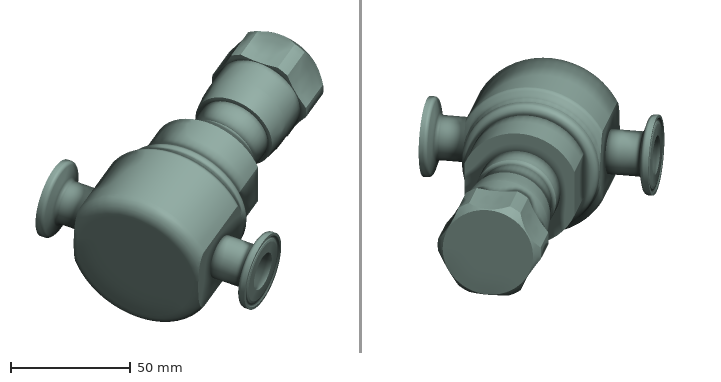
import cadquery as cq
import math

overall_length = 134.3
port_span = 98.3

body_radius = 33.3
body_flat_half_width = 29.3
body_face_fillet = 6.6
shoulder_start_y = 36.3
shoulder_blend_radius = 3.0
shoulder_angle = math.radians(45)
cap_radius = body_flat_half_width
cap_end_y = 47.8
cap_fillet = 3.2

spacer_radius = 23.1
nut_start_y = 48.3
nut_end_y = 67.4
nut_radius = 25.5
nut_flat_half_width = 23.5

collar_radius = 17.5
collar_end_y = 78.3
neck_radius = 16.0
sleeve_start_y = 91.3
sleeve_start_radius = 18.0
sleeve_straight_y = 102.3
sleeve_radius = 19.2

knob_start_y = 115.0
knob_radius = 22.2
knob_chamfer_length = 3.4
knob_end_radius = 19.3
knob_lobes = 6
lobe_half_angle = math.radians(6.9)
flute_root_radius = 19.6

port_y = 21.4
pipe_radius = 9.5
bore_radius = 8.3
bore_floor_x = 31.8
flange_radius = 17.0
flange_rim_width = 1.9
flange_blend_radius = 1.7
flange_slope = math.radians(18)
groove_outer_radius = 15.8
groove_floor_radius = 15.2
groove_floor_depth = 0.7
groove_bevel_radius = 14.4
groove_bevel_depth = 0.3
groove_inner_radius = 13.3


def revolve_about_y(profile):
    return profile.close().revolve(360, (0, 0, 0), (0, 1, 0))


def plane_at_y(y):
    """Workplane at the given Y, facing +Y, with local axes X and -Z."""
    return cq.Workplane("XZ", origin=(0, y, 0)).transformed(rotate=(180, 0, 0))


def trim_to_flats(solid, half_width):
    box_size = 2 * overall_length
    return solid.intersect(cq.Workplane("XY").box(2 * half_width, box_size, box_size))


def make_body():
    blend_run = shoulder_blend_radius * math.sin(shoulder_angle)
    blend_drop = shoulder_blend_radius * (1 - math.cos(shoulder_angle))
    cone_start_radius = body_radius - blend_drop
    cone_end_radius = cap_radius + blend_drop
    cone_start_y = shoulder_start_y + blend_run
    cone_end_y = cone_start_y + (cone_start_radius - cone_end_radius) / math.tan(shoulder_angle)
    profile = (
        cq.Workplane("XY")
        .lineTo(body_radius - body_face_fillet, 0)
        .radiusArc((body_radius, body_face_fillet), -body_face_fillet)
        .lineTo(body_radius, shoulder_start_y)
        .radiusArc((cone_start_radius, cone_start_y), -shoulder_blend_radius)
        .lineTo(cone_end_radius, cone_end_y)
        .radiusArc((cap_radius, cone_end_y + blend_run), shoulder_blend_radius)
        .lineTo(cap_radius, cap_end_y - cap_fillet)
        .radiusArc((cap_radius - cap_fillet, cap_end_y), -cap_fillet)
        .lineTo(0, cap_end_y)
    )
    return trim_to_flats(revolve_about_y(profile), body_flat_half_width)


def make_bonnet_nut():
    nut = plane_at_y(nut_start_y).circle(nut_radius).extrude(nut_end_y - nut_start_y)
    spacer = plane_at_y(cap_end_y).circle(spacer_radius).extrude(nut_start_y - cap_end_y)
    return trim_to_flats(nut, nut_flat_half_width).union(spacer)


def make_stem():
    collar_chamfer_y = collar_end_y - (collar_radius - neck_radius)
    profile = (
        cq.Workplane("XY")
        .moveTo(0, nut_end_y)
        .lineTo(collar_radius, nut_end_y)
        .lineTo(collar_radius, collar_chamfer_y)
        .lineTo(neck_radius, collar_end_y)
        .lineTo(neck_radius, sleeve_start_y)
        .lineTo(sleeve_radius, sleeve_start_y)
        .lineTo(sleeve_radius, knob_start_y)
        .lineTo(0, knob_start_y)
    )
    return revolve_about_y(profile).intersect(make_sleeve_taper())


def make_sleeve_taper():
    """Envelope whose side curves in from the straight sleeve to its lower edge."""
    taper_length = sleeve_straight_y - sleeve_start_y
    taper_depth = sleeve_radius - sleeve_start_radius
    taper_arc_radius = (taper_length**2 + taper_depth**2) / (2 * taper_depth)
    profile = (
        cq.Workplane("XY")
        .moveTo(0, nut_end_y)
        .lineTo(sleeve_start_radius, nut_end_y)
        .lineTo(sleeve_start_radius, sleeve_start_y)
        .radiusArc((sleeve_radius, sleeve_straight_y), -taper_arc_radius)
        .lineTo(sleeve_radius, knob_start_y)
        .lineTo(0, knob_start_y)
    )
    return revolve_about_y(profile)


def make_knob():
    def polar(radius, angle):
        return (radius * math.cos(angle), radius * math.sin(angle))

    pitch = 2 * math.pi / knob_lobes
    outline = plane_at_y(knob_start_y).moveTo(*polar(knob_radius, -lobe_half_angle))
    for lobe in range(knob_lobes):
        centre = lobe * pitch
        outline = outline.threePointArc(
            polar(knob_radius, centre),
            polar(knob_radius, centre + lobe_half_angle),
        ).threePointArc(
            polar(flute_root_radius, centre + pitch / 2),
            polar(knob_radius, centre + pitch - lobe_half_angle),
        )
    knob = outline.close().extrude(overall_length - knob_start_y)

    chamfered_blank = revolve_about_y(
        cq.Workplane("XY")
        .moveTo(0, knob_start_y)
        .lineTo(knob_radius, knob_start_y)
        .lineTo(knob_radius, overall_length - knob_chamfer_length)
        .lineTo(knob_end_radius, overall_length)
        .lineTo(0, overall_length)
    )
    return knob.intersect(chamfered_blank)


def make_port():
    """Ferrule on the +X side: pipe, conical flange back, grooved face and blind bore."""
    face_x = port_span / 2
    rim_x = face_x - flange_rim_width
    blend_run = flange_blend_radius * math.cos(flange_slope)
    blend_rise = flange_blend_radius * (1 - math.sin(flange_slope))
    cone_outer_radius = flange_radius - blend_rise
    cone_inner_radius = pipe_radius + blend_rise
    cone_outer_x = rim_x - blend_run
    cone_inner_x = cone_outer_x - (cone_outer_radius - cone_inner_radius) * math.tan(flange_slope)
    profile = (
        cq.Workplane("XY")
        .lineTo(0, pipe_radius)
        .lineTo(cone_inner_x - blend_run, pipe_radius)
        .radiusArc((cone_inner_x, cone_inner_radius), -flange_blend_radius)
        .lineTo(cone_outer_x, cone_outer_radius)
        .radiusArc((rim_x, flange_radius), flange_blend_radius)
        .lineTo(face_x, flange_radius)
        .lineTo(face_x, groove_outer_radius)
        .threePointArc(
            (face_x - groove_floor_depth, groove_floor_radius),
            (face_x - groove_bevel_depth, groove_bevel_radius),
        )
        .lineTo(face_x, groove_inner_radius)
        .lineTo(face_x, bore_radius)
        .lineTo(bore_floor_x, bore_radius)
        .lineTo(bore_floor_x, 0)
        .close()
    )
    return profile.revolve(360, (0, 0, 0), (1, 0, 0)).translate((0, port_y, 0))


port = make_port()
result = (
    make_body()
    .union(make_bonnet_nut())
    .union(make_stem())
    .union(make_knob())
    .union(port)
    .union(port.mirror("YZ"))
)